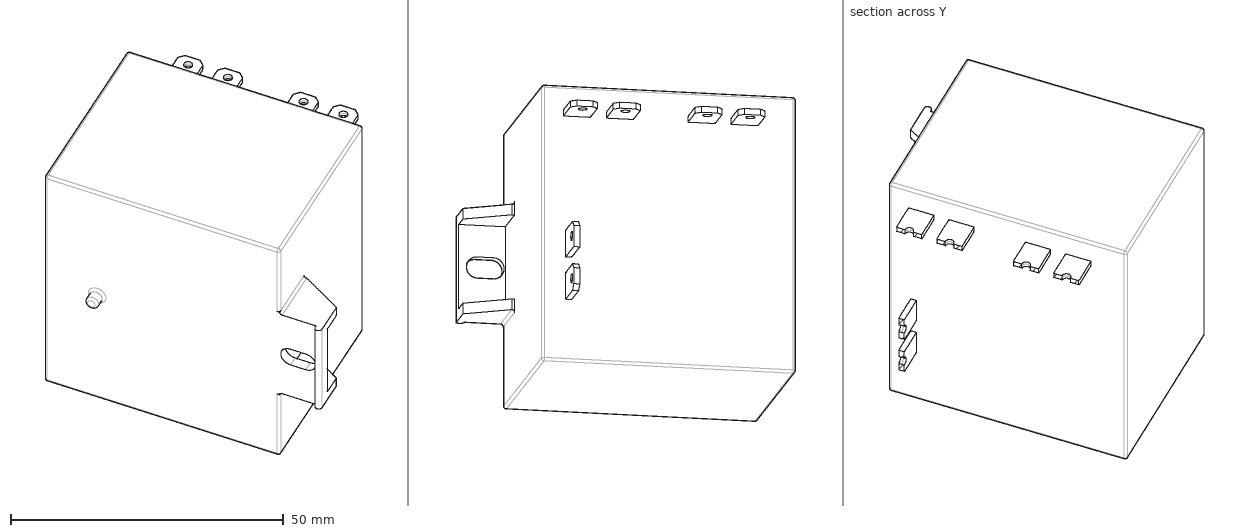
import cadquery as cq
import math

overall_length = 56.1
body_length = 47.4
body_depth = 36.5
body_height = 52.2
edge_radius = 0.5

sheet_thickness = 2.0
lug_height = 19.95
lug_root_depth = 10.75
lug_end_depth = 6.0
lug_overlap = 1.1
slot_length = 7.0
slot_height = 4.0
slot_gap = 0.2
lip_thickness = 1.4
lip_projection = 1.0

stud_x = 10.6
stud_diameter = 2.5
stud_length = 2.5
stud_radius = 0.5

blade_width = 5.05
blade_length = 7.6
blade_thickness = 1.1
blade_chamfer = 1.0
blade_hole_diameter = 1.6
blade_hole_from_tip = 2.0
blade_pitch = 8.0
flat_blade_z = 20.85
flat_pair_starts = (9.6, 32.9)
upright_blade_x = 42.4
upright_upper_z = -3.8


def lug_profile():
    """Side outline of the lug, with its root buried in the body."""
    root_x = body_length - lug_overlap
    shoulder_x = body_length + edge_radius
    return (
        cq.Workplane("XY")
        .moveTo(root_x, 0)
        .lineTo(overall_length, 0)
        .lineTo(overall_length, lug_end_depth)
        .lineTo(shoulder_x, lug_root_depth)
        .lineTo(root_x, lug_root_depth)
        .close()
    )


def root_flare(side):
    """Concave fillet between one lug cheek (side is +1 or -1) and the body."""
    cheek_z = side * lug_height / 2
    flare_z = cheek_z + side * edge_radius
    root_x = body_length - lug_overlap
    shoulder_x = body_length + edge_radius
    arc_offset = edge_radius * (1 - math.sqrt(0.5))
    return (
        cq.Workplane("XZ")
        .moveTo(root_x, cheek_z)
        .lineTo(shoulder_x, cheek_z)
        .threePointArc(
            (body_length + arc_offset, cheek_z + side * arc_offset),
            (body_length, flare_z),
        )
        .lineTo(root_x, flare_z)
        .close()
        .extrude(-lug_root_depth)
    )


def make_lug():
    """Slotted front plate, two tapered cheeks and a rounded lip along the free end."""
    lug = lug_profile().extrude(lug_height / 2, both=True)

    hollow = cq.Workplane("XY").box(
        overall_length - body_length,
        lug_root_depth,
        lug_height - 2 * sheet_thickness,
        centered=(False, False, True),
    )
    lug = lug.cut(hollow.translate((body_length, sheet_thickness, 0)))

    slot_x = body_length + slot_gap + slot_length / 2
    slot = (
        cq.Workplane("XZ")
        .center(slot_x, 0)
        .slot2D(slot_length, slot_height)
        .extrude(-sheet_thickness)
    )
    lug = lug.cut(slot)

    lip_radius = lip_thickness / 2
    lip_start_x = overall_length - lip_thickness
    lip_straight = lip_projection - lip_radius
    lip = (
        cq.Workplane("XY")
        .moveTo(lip_start_x, sheet_thickness)
        .lineTo(lip_start_x, -lip_straight)
        .threePointArc(
            (lip_start_x + lip_radius, -lip_projection),
            (overall_length, -lip_straight),
        )
        .lineTo(overall_length, sheet_thickness)
        .close()
        .extrude(lug_height / 2, both=True)
    )
    return lug.union(lip).union(root_flare(1)).union(root_flare(-1))


def make_stud():
    """Revolved stud with a concave root fillet and a rounded tip."""
    radius = stud_diameter / 2
    arc_offset = stud_radius * (1 - math.sqrt(0.5))
    return (
        cq.Workplane("XY")
        .moveTo(0, edge_radius)
        .lineTo(radius + stud_radius, edge_radius)
        .lineTo(radius + stud_radius, 0)
        .threePointArc((radius + arc_offset, -arc_offset), (radius, -stud_radius))
        .lineTo(radius, stud_radius - stud_length)
        .threePointArc(
            (radius - arc_offset, arc_offset - stud_length),
            (radius - stud_radius, -stud_length),
        )
        .lineTo(0, -stud_length)
        .close()
        .revolve(360, (0, 0), (0, 1))
        .translate((stud_x, 0, 0))
    )


def make_blade(chamfered_corners):
    """Flat terminal lying in XY; its root is centred on the origin and it points along +Y."""
    blade = cq.Workplane("XY").box(
        blade_width, blade_length, blade_thickness, centered=(True, False, True)
    )
    blade = blade.edges(chamfered_corners).chamfer(blade_chamfer)
    hole = (
        cq.Workplane("XY")
        .center(0, blade_length - blade_hole_from_tip)
        .circle(blade_hole_diameter / 2)
        .extrude(blade_thickness, both=True)
    )
    return blade.cut(hole)


def make_upright_blade(chamfered_corners):
    """Terminal turned about Y so that its +X edge points up."""
    return make_blade(chamfered_corners).rotate((0, 0, 0), (0, 1, 0), -90)


result = (
    cq.Workplane("XY")
    .box(body_length, body_depth, body_height, centered=(False, False, True))
    .edges()
    .fillet(edge_radius)
)

result = result.union(make_lug()).union(make_stud())

both_tip_corners = "|Z and >Y"
for pair_start in flat_pair_starts:
    for blade_x in (pair_start, pair_start + blade_pitch):
        flat_blade = make_blade(both_tip_corners)
        result = result.union(flat_blade.translate((blade_x, body_depth, flat_blade_z)))

upper_tip_corner = "|Z and >Y and >X"
upright_blades = (
    (upright_upper_z, upper_tip_corner),
    (upright_upper_z - blade_pitch, both_tip_corners),
)
for blade_z, chamfered_corners in upright_blades:
    upright_blade = make_upright_blade(chamfered_corners)
    result = result.union(upright_blade.translate((upright_blade_x, body_depth, blade_z)))